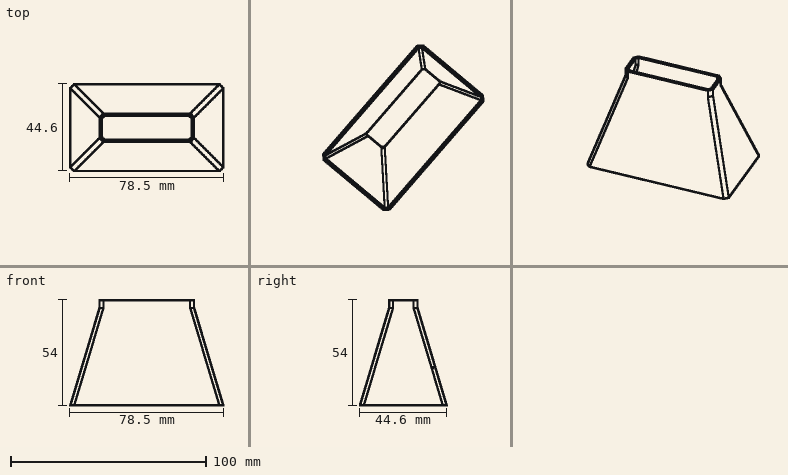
import cadquery as cq

base_length = 78.5
base_width = 44.6
total_height = 54.0

neck_length = 48.5
neck_width = neck_length - (base_length - base_width)
neck_height = 4.0

corner_chamfer = 2.05
wall = 1.25
inner_corner_chamfer = 1.25

body_height = total_height - neck_height


def chamfered_rectangle(length, width, chamfer, height):
    """Horizontal rectangle with cut corners, centred on the Z axis."""
    x, y = length / 2, width / 2
    points = [
        (x - chamfer, -y),
        (x, -y + chamfer),
        (x, y - chamfer),
        (x - chamfer, y),
        (-x + chamfer, y),
        (-x, y - chamfer),
        (-x, -y + chamfer),
        (-x + chamfer, -y),
    ]
    return cq.Workplane("XY").workplane(offset=height).polyline(points).close().val()


def hood(inset, chamfer):
    """Solid tapered body and neck, with every side moved inward by the inset."""
    base = chamfered_rectangle(base_length - 2 * inset, base_width - 2 * inset, chamfer, 0)
    shoulder, rim = (
        chamfered_rectangle(neck_length - 2 * inset, neck_width - 2 * inset, chamfer, height)
        for height in (body_height, total_height)
    )
    body = cq.Solid.makeLoft([base, shoulder], True)
    neck = cq.Solid.makeLoft([shoulder, rim], True)
    return cq.Workplane(body).union(cq.Workplane(neck))


outside = hood(0, corner_chamfer)
cavity = hood(wall, inner_corner_chamfer)
result = outside.cut(cavity)